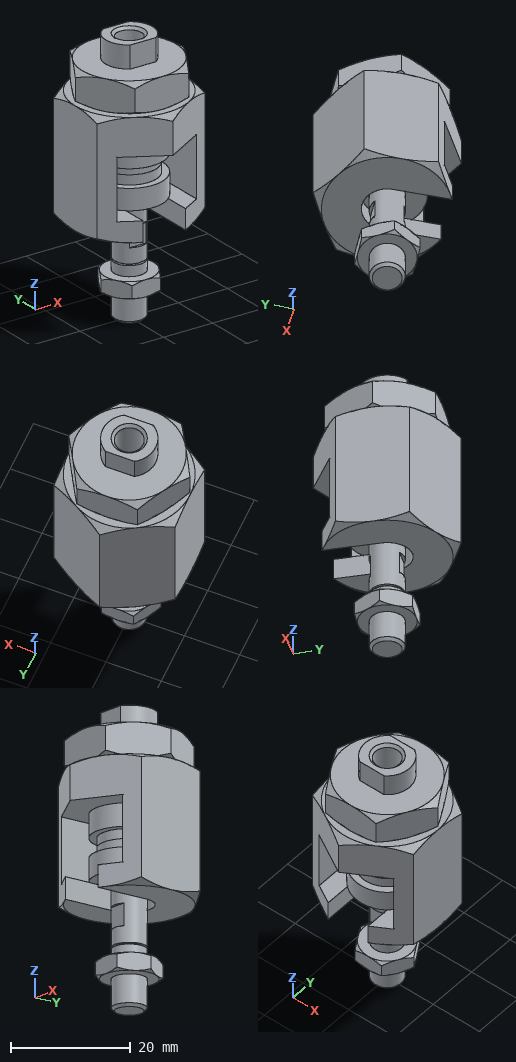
import cadquery as cq
import math

HOUSING_FLATS = 22.0
HOUSING_BOTTOM = 18.55
HOUSING_TOP = 41.55
WINDOW_BOTTOM = 22.5
WINDOW_TOP = 34.3
WINDOW_WIDTH = 16.15
STUD_SLOT_WIDTH = 8.65

CAP_FLATS = 19.05
CAP_HEX_TOP = 47.6
CAP_TOP = 52.0
CAP_NECK_RADIUS = 4.8
CAP_NECK_FLATS = 8.0
CAP_END = 30.2
TAPPED_HOLE_DEPTH = 10.4
DRILL_POINT_ANGLE = 118.0

DISC_RADIUS = 6.75
SPIGOT_RADIUS = 5.4
SPIGOT_JOINT = 28.5
STUD_DISC_TOP = 26.6

THREAD_RADIUS = 3.0
THREAD_CORE_RADIUS = 2.5
STUD_WRENCH_FLATS = 5.0
STUD_FLAT_BOTTOM = 14.05
STUD_FLAT_TOP = 18.0
GROOVE_BOTTOM = 10.75
GROOVE_TOP = 11.1

NUT_FLATS = 10.0
NUT_BOTTOM = 5.55
NUT_TOP = 8.75

HEX_CHAMFER_ANGLE = 30.0
THREAD_CHAMFER = THREAD_RADIUS - THREAD_CORE_RADIUS


def cylinder(radius, bottom, top):
    return cq.Workplane("XY").workplane(offset=bottom).circle(radius).extrude(top - bottom)


def turned(profile):
    """Revolve a list of (radius, height) points about the Z axis."""
    return cq.Workplane("XZ").polyline(profile).close().revolve(360, (0, 0), (0, 1))


def chamfered_hex(across_flats, bottom, top, corner_angle):
    """Hexagonal prism whose corners are turned down by a cone at both ends."""
    flat_radius = across_flats / 2
    corner_radius = flat_radius / math.cos(math.pi / 6)
    drop = (corner_radius - flat_radius) * math.tan(math.radians(HEX_CHAMFER_ANGLE))
    prism = (
        cq.Workplane("XY")
        .workplane(offset=bottom)
        .polygon(6, 2 * corner_radius)
        .extrude(top - bottom)
        .rotate((0, 0, 0), (0, 0, 1), corner_angle)
    )
    envelope = turned([
        (0, bottom),
        (flat_radius, bottom),
        (corner_radius, bottom + drop),
        (corner_radius, top - drop),
        (flat_radius, top),
        (0, top),
    ])
    return prism.intersect(envelope)


def side_slot(width, bottom, top):
    """Slot with a round end on the Z axis, open toward -Y."""
    radius = width / 2
    return (
        cq.Workplane("XY")
        .workplane(offset=bottom)
        .moveTo(-radius, -HOUSING_FLATS)
        .lineTo(radius, -HOUSING_FLATS)
        .lineTo(radius, 0)
        .threePointArc((0, radius), (-radius, 0))
        .close()
        .extrude(top - bottom)
    )


def cut_wrench_flats(body, across_flats, bottom, top, body_radius):
    """Mill two parallel flats facing -Y and +Y."""
    for side in (-1, 1):
        mill = (
            cq.Workplane("XY")
            .workplane(offset=bottom)
            .center(0, side * (across_flats / 2 + body_radius))
            .rect(4 * body_radius, 2 * body_radius)
            .extrude(top - bottom)
        )
        body = body.cut(mill)
    return body


def make_housing():
    """Hexagonal housing with a side-entry T-slot and a bore for the cap."""
    housing = chamfered_hex(HOUSING_FLATS, HOUSING_BOTTOM, HOUSING_TOP, 30)
    housing = housing.cut(side_slot(WINDOW_WIDTH, WINDOW_BOTTOM, WINDOW_TOP))
    housing = housing.cut(side_slot(STUD_SLOT_WIDTH, HOUSING_BOTTOM, WINDOW_BOTTOM))
    return housing.cut(cylinder(DISC_RADIUS, WINDOW_TOP, HOUSING_TOP))


def make_cap():
    """Hexagonal cap: shank and spigot below, tapped neck with flats above."""
    neck = cylinder(CAP_NECK_RADIUS, CAP_HEX_TOP, CAP_TOP)
    neck = cut_wrench_flats(neck, CAP_NECK_FLATS, CAP_HEX_TOP, CAP_TOP, CAP_NECK_RADIUS)
    cap = (
        chamfered_hex(CAP_FLATS, HOUSING_TOP, CAP_HEX_TOP, 0)
        .union(cylinder(DISC_RADIUS, CAP_END, HOUSING_TOP))
        .union(cylinder(SPIGOT_RADIUS, SPIGOT_JOINT, CAP_END))
        .union(neck)
    )

    hole_bottom = CAP_TOP - TAPPED_HOLE_DEPTH
    drill_point = THREAD_CORE_RADIUS / math.tan(math.radians(DRILL_POINT_ANGLE / 2))
    tapped_hole = turned([
        (0, hole_bottom - drill_point),
        (THREAD_CORE_RADIUS, hole_bottom),
        (THREAD_CORE_RADIUS, CAP_TOP - THREAD_CHAMFER),
        (THREAD_RADIUS, CAP_TOP),
        (0, CAP_TOP),
    ])
    return cap.cut(tapped_hole)


def make_stud():
    """Stud with a disc head, wrench flats, a relief groove and a chamfered end."""
    stud = turned([
        (0, 0),
        (THREAD_CORE_RADIUS, 0),
        (THREAD_RADIUS, THREAD_CHAMFER),
        (THREAD_RADIUS, GROOVE_BOTTOM),
        (THREAD_CORE_RADIUS, GROOVE_BOTTOM),
        (THREAD_CORE_RADIUS, GROOVE_TOP),
        (THREAD_RADIUS, GROOVE_TOP),
        (THREAD_RADIUS, WINDOW_BOTTOM),
        (DISC_RADIUS, WINDOW_BOTTOM),
        (DISC_RADIUS, STUD_DISC_TOP),
        (SPIGOT_RADIUS, STUD_DISC_TOP),
        (SPIGOT_RADIUS, SPIGOT_JOINT),
        (0, SPIGOT_JOINT),
    ])
    return cut_wrench_flats(stud, STUD_WRENCH_FLATS, STUD_FLAT_BOTTOM, STUD_FLAT_TOP, THREAD_RADIUS)


def make_lock_nut():
    """Chamfered hexagonal nut on the threaded end of the stud."""
    nut = chamfered_hex(NUT_FLATS, NUT_BOTTOM, NUT_TOP, 0)
    return nut.cut(cylinder(THREAD_RADIUS, NUT_BOTTOM, NUT_TOP))


housing = make_housing()
cap = make_cap()
stud = make_stud()
lock_nut = make_lock_nut()

bodies = [housing, cap, stud, lock_nut]
result = cq.Compound.makeCompound([body.solids().val() for body in bodies])